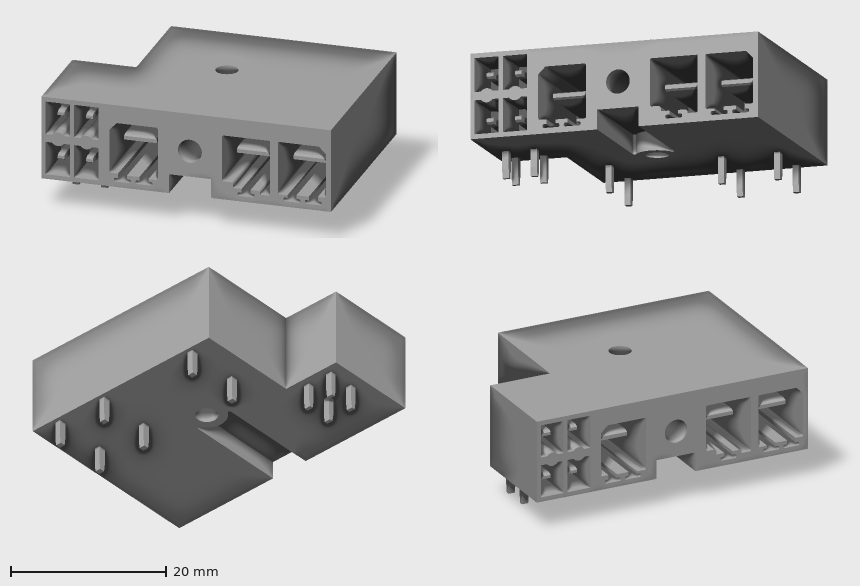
import cadquery as cq
import math

LENGTH = 39.07
DEPTH = 28.3
HEIGHT = 11.33
STEP_X = 8.65
STEP_Y = 13.35
LEG_DROP = 3.55

MOUNT_X = 20.05
MOUNT_Y = 15.95
SCREW_HOLE_DIA = 3.0
BOSS_DIA = 5.47
ACCESS_HOLE_DIA = 3.2
ACCESS_HOLE_Z = 6.15
NOTCH_WIDTH = 5.63
NOTCH_HEIGHT = 2.6
NOTCH_ROUND = 0.255

SIGNAL_PITCH = 3.83
SIGNAL_LEFT_X = 2.23
SIGNAL_X = (SIGNAL_LEFT_X, SIGNAL_LEFT_X + SIGNAL_PITCH)
SIGNAL_FRONT_LEG_Y = 8.05
SIGNAL_WIDTH = 0.9
SIGNAL_THICKNESS = 0.85
SIGNAL_TIP_THICKNESS = 0.4
SIGNAL_TIP_Y = 1.35
SIGNAL_TIP_LENGTH = 0.45
SIGNAL_LEG_TIP = 0.5
SIGNAL_LEG_TAPER = 1.17
ROW_MIDDLE_Z = HEIGHT / 2
ROW_OFFSET = 3.0
POCKET_WIDTH = 3.3
POCKET_INNER = 0.55
POCKET_OUTER = 5.05
POCKET_DEPTH = 6.65
KEY_WIDTH = 1.55
KEY_HEIGHT = 0.4

POWER_PITCH = 7.6
POWER_LEFT_X = 12.4
POWER_MIDDLE_X = POWER_LEFT_X + 2 * POWER_PITCH
POWER_RIGHT_X = POWER_LEFT_X + 3 * POWER_PITCH
POWER_Z = 5.65
POWER_WIDTH = 4.4
POWER_THICKNESS = 0.9
POWER_TIP_THICKNESS = 0.5
POWER_TIP_Y = 3.13
POWER_TIP_LENGTH = 0.45
POWER_LEG_WIDTH = 0.82
POWER_LEG_THICKNESS = 1.0
POWER_LEG_TIP = 0.75
POWER_LEG_TAPER = 1.05
POWER_LEG_REAR_Y = 27.25
POWER_LEG_Y = (POWER_LEG_REAR_Y - POWER_PITCH, POWER_LEG_REAR_Y)

CAVITY_DEPTH = 15.63
CAVITY_TOP = 8.85
CAVITY_NEAR = 3.15
CAVITY_FAR = 3.32
CAVITY_CHAMFER = 0.98
CAVITY_ROUND = 0.25
FLOOR_HIGH = 1.88
FLOOR_MIDDLE = 1.75
FLOOR_LOW = 1.6

MIDDLE_CAVITY_HALF = 3.25
LEDGE_HIGH_X = 1.75
LEDGE_HIGH_Z = 2.5
LEDGE_LOW_X = 1.88
LEDGE_LOW_Z = 1.25
LEDGE_ROUND = 0.4

GROOVE_OFFSET = 1.45
GROOVE_NECK = 1.2
GROOVE_HEAD = 2.3
GROOVE_HEAD_TOP = 1.25
GROOVE_BOTTOM = 0.75
GROOVE_ROUND_TOP = 0.25
GROOVE_ROUND_BOTTOM = 0.2


def from_front(depth, points):
    """Prism with an X-Z outline, running back from the front face."""
    return cq.Workplane("XZ").polyline(points).close().extrude(-depth)


def coding_groove(x):
    """T-shaped groove: a neck up to the cavity and a wider head below."""
    head_height = GROOVE_HEAD_TOP - GROOVE_BOTTOM
    head = (
        cq.Workplane("XY")
        .box(GROOVE_HEAD, CAVITY_DEPTH, head_height, centered=(True, False, False))
        .edges("|Y and >Z")
        .fillet(GROOVE_ROUND_TOP)
        .edges("|Y and <Z")
        .fillet(GROOVE_ROUND_BOTTOM)
    )
    neck = cq.Workplane("XY").box(
        GROOVE_NECK, CAVITY_DEPTH, FLOOR_HIGH - GROOVE_BOTTOM, centered=(True, False, False)
    )
    return head.union(neck).translate((x, 0, GROOVE_BOTTOM))


def end_cavity(x, near_side):
    """Cavity with a chamfered upper edge and twin grooves; near_side is -1 (left) or +1 (right)."""
    near = x + near_side * CAVITY_NEAR
    far = x - near_side * CAVITY_FAR
    near_step = x + near_side * GROOVE_OFFSET
    far_step = x - near_side * GROOVE_OFFSET
    room = from_front(CAVITY_DEPTH, [
        (near, FLOOR_HIGH),
        (near, CAVITY_TOP - CAVITY_CHAMFER),
        (near - near_side * CAVITY_CHAMFER, CAVITY_TOP),
        (far, CAVITY_TOP),
        (far, FLOOR_LOW),
        (far_step, FLOOR_LOW),
        (far_step, FLOOR_MIDDLE),
        (near_step, FLOOR_MIDDLE),
        (near_step, FLOOR_HIGH),
    ])
    middle_y = CAVITY_DEPTH / 2
    for corner in ((near, FLOOR_HIGH), (far, CAVITY_TOP), (far, FLOOR_LOW)):
        corner_edge = cq.NearestToPointSelector((corner[0], middle_y, corner[1]))
        room = room.edges("|Y").edges(corner_edge).fillet(CAVITY_ROUND)
    for groove_x in (near_step, far_step):
        room = room.union(coding_groove(groove_x))
    return room


def middle_cavity(x):
    """Cavity with a ledge on either side of a single groove."""
    left = x - MIDDLE_CAVITY_HALF
    right = x + MIDDLE_CAVITY_HALF
    high_ledge = (x - LEDGE_HIGH_X, LEDGE_HIGH_Z)
    low_ledge = (x + LEDGE_LOW_X, FLOOR_MIDDLE)
    room = from_front(CAVITY_DEPTH, [
        (left, CAVITY_TOP),
        (left, LEDGE_HIGH_Z),
        high_ledge,
        (x - LEDGE_HIGH_X, FLOOR_MIDDLE),
        low_ledge,
        (x + LEDGE_LOW_X, LEDGE_LOW_Z),
        (right, LEDGE_LOW_Z),
        (right, CAVITY_TOP),
    ])
    middle_y = CAVITY_DEPTH / 2
    rounds = (
        (high_ledge, LEDGE_ROUND),
        (low_ledge, LEDGE_ROUND),
        ((left, CAVITY_TOP), CAVITY_ROUND),
        ((left, LEDGE_HIGH_Z), CAVITY_ROUND),
        ((right, LEDGE_LOW_Z), CAVITY_ROUND),
    )
    for corner, radius in rounds:
        corner_edge = cq.NearestToPointSelector((corner[0], middle_y, corner[1]))
        room = room.edges("|Y").edges(corner_edge).fillet(radius)
    return room.union(coding_groove(x))


def signal_pocket(x, side):
    """Pocket above (side +1) or below (side -1) the middle plane, with a rounded key in one wall."""
    inner = ROW_MIDDLE_Z + side * POCKET_INNER
    outer = ROW_MIDDLE_Z + side * POCKET_OUTER
    key_top = inner + side * KEY_HEIGHT
    half = POCKET_WIDTH / 2
    return (
        cq.Workplane("XZ")
        .moveTo(x - half, outer)
        .lineTo(x - half, inner)
        .lineTo(x - KEY_WIDTH / 2, inner)
        .threePointArc((x, key_top), (x + KEY_WIDTH / 2, inner))
        .lineTo(x + half, inner)
        .lineTo(x + half, outer)
        .close()
        .extrude(-POCKET_DEPTH)
    )


def screw_mount():
    """Everything removed for the screw: through hole, and front hole and notch ending on the boss."""
    axis = cq.Workplane("XY").center(MOUNT_X, MOUNT_Y)
    screw_hole = axis.circle(SCREW_HOLE_DIA / 2).extrude(HEIGHT)
    boss = axis.circle(BOSS_DIA / 2).extrude(HEIGHT)
    access = (
        cq.Workplane("XZ")
        .center(MOUNT_X, ACCESS_HOLE_Z)
        .circle(ACCESS_HOLE_DIA / 2)
        .extrude(-MOUNT_Y)
        .cut(boss)
    )

    half = NOTCH_WIDTH / 2
    boss_radius = BOSS_DIA / 2
    round_x = half - NOTCH_ROUND
    boss_to_round = boss_radius + NOTCH_ROUND
    round_y = MOUNT_Y - math.sqrt(boss_to_round**2 - round_x**2)
    touch_x = round_x * boss_radius / boss_to_round
    touch_y = MOUNT_Y - (MOUNT_Y - round_y) * boss_radius / boss_to_round
    wall_to_boss = math.pi - math.atan2(MOUNT_Y - round_y, round_x)
    middle_x = round_x + NOTCH_ROUND * math.cos(wall_to_boss / 2)
    middle_y = round_y + NOTCH_ROUND * math.sin(wall_to_boss / 2)
    notch = (
        cq.Workplane("XY")
        .moveTo(half, 0)
        .lineTo(half, round_y)
        .threePointArc((middle_x, middle_y), (touch_x, touch_y))
        .threePointArc((0, MOUNT_Y - boss_radius), (-touch_x, touch_y))
        .threePointArc((-middle_x, middle_y), (-half, round_y))
        .lineTo(-half, 0)
        .close()
        .extrude(NOTCH_HEIGHT)
        .translate((MOUNT_X, 0, 0))
    )
    return screw_hole.union(access).union(notch)


def blade(width, thickness, tip_thickness, tip_length, tip_y, back_y):
    """Flat blade along Y, centred on X = Z = 0, whose front end thins towards the tip."""
    half = thickness / 2
    half_tip = tip_thickness / 2
    shoulder_y = tip_y + tip_length
    outline = [
        (tip_y, half_tip),
        (shoulder_y, half),
        (back_y, half),
        (back_y, -half),
        (shoulder_y, -half),
        (tip_y, -half_tip),
    ]
    return cq.Workplane("YZ").polyline(outline).close().extrude(width / 2, both=True)


def solder_leg(width, thickness, tip_thickness, taper, y, top_z):
    """Vertical leg at X = 0 whose lower end thins in Y."""
    half = thickness / 2
    half_tip = tip_thickness / 2
    taper_z = taper - LEG_DROP
    outline = [
        (y - half, top_z),
        (y - half, taper_z),
        (y - half_tip, -LEG_DROP),
        (y + half_tip, -LEG_DROP),
        (y + half, taper_z),
        (y + half, top_z),
    ]
    return cq.Workplane("YZ").polyline(outline).close().extrude(width / 2, both=True)


def signal_contact(x, side):
    """Angled pin; the upper row (side +1) turns down one pitch behind the lower row."""
    z = ROW_MIDDLE_Z + side * ROW_OFFSET
    leg_y = SIGNAL_FRONT_LEG_Y + (SIGNAL_PITCH if side > 0 else 0)
    back_y = leg_y + SIGNAL_THICKNESS / 2
    pin = blade(
        SIGNAL_WIDTH, SIGNAL_THICKNESS, SIGNAL_TIP_THICKNESS, SIGNAL_TIP_LENGTH, SIGNAL_TIP_Y, back_y
    ).translate((0, 0, z))
    leg = solder_leg(SIGNAL_WIDTH, SIGNAL_THICKNESS, SIGNAL_LEG_TIP, SIGNAL_LEG_TAPER, leg_y, z)
    return pin.union(leg).translate((x, 0, 0))


def power_contact(x):
    """Wide blade with two narrow solder legs, one behind the other."""
    back_y = POWER_LEG_REAR_Y + POWER_LEG_THICKNESS / 2
    contact = blade(
        POWER_WIDTH, POWER_THICKNESS, POWER_TIP_THICKNESS, POWER_TIP_LENGTH, POWER_TIP_Y, back_y
    ).translate((0, 0, POWER_Z))
    for leg_y in POWER_LEG_Y:
        leg = solder_leg(
            POWER_LEG_WIDTH, POWER_LEG_THICKNESS, POWER_LEG_TIP, POWER_LEG_TAPER, leg_y, POWER_Z
        )
        contact = contact.union(leg)
    return contact.translate((x, 0, 0))


def housing_block():
    """L-shaped block with the contact pockets and the screw mount, before the contacts go in."""
    block = (
        cq.Workplane("XY")
        .polyline([
            (0, 0),
            (LENGTH, 0),
            (LENGTH, DEPTH),
            (STEP_X, DEPTH),
            (STEP_X, STEP_Y),
            (0, STEP_Y),
        ])
        .close()
        .extrude(HEIGHT)
    )
    for x in SIGNAL_X:
        for side in (-1, 1):
            block = block.cut(signal_pocket(x, side))
    block = block.cut(end_cavity(POWER_LEFT_X, -1))
    block = block.cut(middle_cavity(POWER_MIDDLE_X))
    block = block.cut(end_cavity(POWER_RIGHT_X, 1))
    return block.cut(screw_mount())


signal_contacts = [signal_contact(x, side) for x in SIGNAL_X for side in (-1, 1)]
power_contacts = [power_contact(x) for x in (POWER_LEFT_X, POWER_MIDDLE_X, POWER_RIGHT_X)]
contacts = signal_contacts + power_contacts

housing = housing_block()
for contact in contacts:
    housing = housing.cut(contact)

bodies = [housing, *contacts]
result = cq.Compound.makeCompound([body.solids().val() for body in bodies])